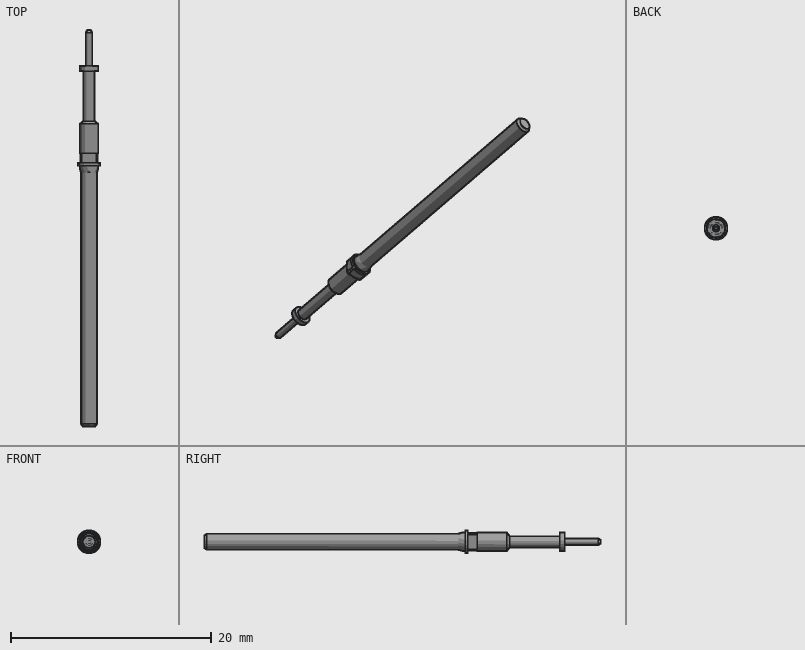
import cadquery as cq
import math

overall_length = 39.6
tip_y = overall_length / 2

tip_diameter = 0.67
neck_diameter = 1.15
body_diameter = 1.85
collar_diameter = 1.9
rod_diameter = 1.62
flange_diameter = 2.3

stop_disc_start = 3.6
stop_disc_end = 4.1
shoulder_start = 9.1
shoulder_end = 9.4
square_start = 12.3
flange_start = 13.25
flange_end = 13.55
collar_end = 14.2

tip_chamfer = 0.28
tip_chamfer_depth = 0.18
rod_chamfer = 0.28
rod_chamfer_depth = 0.2
square_across_flats = 1.8


def turned_section(start, end, start_diameter, end_diameter=None):
    """Cylinder or cone along Y between two distances from the tip end."""
    start_radius = start_diameter / 2
    end_radius = (end_diameter or start_diameter) / 2
    return (
        cq.Workplane("YZ")
        .moveTo(tip_y - start, 0)
        .lineTo(tip_y - start, start_radius)
        .lineTo(tip_y - end, end_radius)
        .lineTo(tip_y - end, 0)
        .close()
        .revolve(360, (0, 0, 0), (1, 0, 0))
    )


def square_section(start, end, across_flats, corner_diameter):
    """Square bar along Y whose corners are rounded to the given diameter."""
    round_stock = turned_section(start, end, corner_diameter)
    middle_y = tip_y - (start + end) / 2
    flats = cq.Workplane("XY").box(across_flats, end - start, across_flats)
    return round_stock.intersect(flats.translate((0, middle_y, 0)))


def domed_collar(start, end, start_diameter, end_diameter):
    """Collar that leaves the flange parallel to the axis and curves down to the rod."""
    length = end - start
    drop = (start_diameter - end_diameter) / 2
    dome_radius = (length**2 + drop**2) / (2 * drop)
    half_way_drop = dome_radius - math.sqrt(dome_radius**2 - (length / 2) ** 2)
    half_way = (tip_y - start - length / 2, start_diameter / 2 - half_way_drop)
    return (
        cq.Workplane("YZ")
        .moveTo(tip_y - start, 0)
        .lineTo(tip_y - start, start_diameter / 2)
        .threePointArc(half_way, (tip_y - end, end_diameter / 2))
        .lineTo(tip_y - end, 0)
        .close()
        .revolve(360, (0, 0, 0), (1, 0, 0))
    )


tip_end_diameter = tip_diameter - 2 * tip_chamfer_depth
rod_end_diameter = rod_diameter - 2 * rod_chamfer_depth
rod_chamfer_start = overall_length - rod_chamfer

sections = [
    turned_section(0, tip_chamfer, tip_end_diameter, tip_diameter),
    turned_section(tip_chamfer, stop_disc_start, tip_diameter),
    turned_section(stop_disc_start, stop_disc_end, body_diameter),
    turned_section(stop_disc_end, shoulder_start, neck_diameter),
    turned_section(shoulder_start, shoulder_end, neck_diameter, body_diameter),
    turned_section(shoulder_end, square_start, body_diameter),
    square_section(square_start, flange_start, square_across_flats, flange_diameter),
    turned_section(flange_start, flange_end, flange_diameter),
    domed_collar(flange_end, collar_end, collar_diameter, rod_diameter),
    turned_section(collar_end, rod_chamfer_start, rod_diameter),
    turned_section(rod_chamfer_start, overall_length, rod_diameter, rod_end_diameter),
]

result = sections[0]
for section in sections[1:]:
    result = result.union(section)